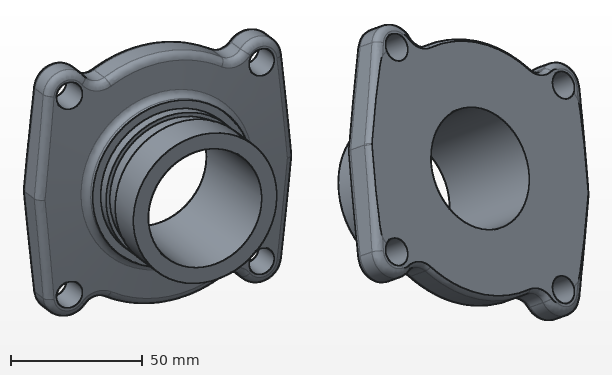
import cadquery as cq
import math

plate_half_width = 107.95 / 2
plate_arc_radius = 101.6 / 2
bolt_circle_radius = 57.15
bolt_angle = math.radians(45)
bolt_offset = bolt_circle_radius * math.cos(bolt_angle)
ear_radius = 9.525
neck_radius = 6.35
bolt_hole_diameter = 10.72
rim_fillet = 3.175

mid_plane_x = 6.9
taper_angle = math.radians(3)
front_taper_radius = 59.4
taper_limit_radius = 70.0

total_length = 48.41
bore_radius = 47.625 / 2
pipe_radius = 60.325 / 2
groove_radius = 57.15 / 2
groove_width = 7.95
pipe_lip_length = 15.88
shoulder_radius = 33.5
shoulder_end_x = 19.85
shoulder_fillet = 2.85

groove_end_x = total_length - pipe_lip_length
groove_start_x = groove_end_x - groove_width


def half_thickness(radius):
    """Distance from the mid plane to the tapered face, at a radius from the X axis."""
    return mid_plane_x + (front_taper_radius - radius) * math.tan(taper_angle)


def point_from(center, distance, angle):
    """(Y, Z) point at a distance and direction from a center."""
    return (center[0] + distance * math.cos(angle), center[1] + distance * math.sin(angle))


def revolve_about_x(profile_points):
    """Solid of revolution from (X, radius) points."""
    return cq.Workplane("XY").polyline(profile_points).close().revolve(360, (0, 0, 0), (1, 0, 0))


def corner_points():
    """(Y, Z) points of the +Y +Z quarter outline, from the side point to the top arc."""
    ear = (bolt_offset, bolt_offset)
    side = (plate_half_width, 0)

    side_distance = math.dist(side, ear)
    ear_to_side = math.atan2(side[1] - ear[1], side[0] - ear[0])
    tangent_angle = ear_to_side + math.acos(ear_radius / side_distance)

    neck_distance = plate_arc_radius + neck_radius
    ear_reach = ear_radius + neck_radius
    cosine = (neck_distance**2 + bolt_circle_radius**2 - ear_reach**2) / (
        2 * neck_distance * bolt_circle_radius
    )
    neck_angle = bolt_angle + math.acos(cosine)
    neck = point_from((0, 0), neck_distance, neck_angle)
    ear_to_neck = math.atan2(neck[1] - ear[1], neck[0] - ear[0])
    neck_to_ear = math.atan2(ear[1] - neck[1], ear[0] - neck[0])
    neck_to_arc = neck_angle - math.pi
    neck_middle_angle = (neck_to_ear + neck_to_arc) / 2

    return [
        side,
        point_from(ear, ear_radius, tangent_angle),
        point_from(ear, ear_radius, (tangent_angle + ear_to_neck) / 2),
        point_from(ear, ear_radius, ear_to_neck),
        point_from(neck, neck_radius, neck_middle_angle),
        point_from((0, 0), plate_arc_radius, neck_angle),
    ]


def mirrored(points, y_sign, z_sign):
    """Points reflected where a sign is -1."""
    return [(y_sign * y, z_sign * z) for y, z in points]


def plate_outline():
    """Closed plate outline in the YZ plane, drawn one half (+Z, then -Z) at a time."""
    corner = corner_points()
    outline = cq.Workplane("YZ").moveTo(*corner[0])
    for sign in (1, -1):
        _, ear_start, ear_mid, ear_end, neck_mid, neck_end = mirrored(corner, sign, sign)
        outline = outline.lineTo(*ear_start)
        outline = outline.threePointArc(ear_mid, ear_end).threePointArc(neck_mid, neck_end)
        side, ear_start, ear_mid, ear_end, neck_mid, neck_end = mirrored(corner, -sign, sign)
        outline = outline.threePointArc((0, sign * plate_arc_radius), neck_end)
        outline = outline.threePointArc(neck_mid, ear_end).threePointArc(ear_mid, ear_start)
        outline = outline.lineTo(*side)
    return outline.close()


def make_plate():
    """Outline slab trimmed to a double-cone lens, with its rim rounded on both sides."""
    center_half = half_thickness(0)
    limit_half = half_thickness(taper_limit_radius)
    lens = revolve_about_x([
        (mid_plane_x - center_half, 0),
        (mid_plane_x + center_half, 0),
        (mid_plane_x + limit_half, taper_limit_radius),
        (mid_plane_x - limit_half, taper_limit_radius),
    ])
    slab = plate_outline().extrude(mid_plane_x + center_half, both=True)
    plate = slab.intersect(lens)
    return plate.edges("not |X").fillet(rim_fillet)


def make_hub():
    """Solid shoulder and grooved pipe end, rooted inside the plate."""
    return revolve_about_x([
        (mid_plane_x, 0),
        (mid_plane_x, shoulder_radius),
        (shoulder_end_x, shoulder_radius),
        (shoulder_end_x, pipe_radius),
        (groove_start_x, pipe_radius),
        (groove_start_x, groove_radius),
        (groove_end_x, groove_radius),
        (groove_end_x, pipe_radius),
        (total_length, pipe_radius),
        (total_length, 0),
    ])


def join_hub(plate):
    """Union the hub to the plate and blend the shoulder into the tapered back."""
    shoulder_root_x = mid_plane_x + half_thickness(shoulder_radius)
    shoulder_root = cq.selectors.NearestToPointSelector((shoulder_root_x, 0, 0))
    return plate.union(make_hub()).edges(shoulder_root).fillet(shoulder_fillet)


def face_front(body):
    """Trim the front taper flat at X = 0, leaving it only on the outer ends of the ears."""
    trim_depth = half_thickness(0)
    trim_size = 4 * plate_half_width
    trim = cq.Workplane("YZ").rect(trim_size, trim_size).extrude(-trim_depth)
    return body.cut(trim)


def cut_holes(body):
    """Cut the bore and the four bolt holes right through."""
    bore = cq.Workplane("YZ").circle(bore_radius).extrude(total_length)
    bolt_holes = (
        cq.Workplane("YZ")
        .rect(2 * bolt_offset, 2 * bolt_offset, forConstruction=True)
        .vertices()
        .circle(bolt_hole_diameter / 2)
        .extrude(total_length)
    )
    return body.cut(bore).cut(bolt_holes)


result = cut_holes(face_front(join_hub(make_plate())))